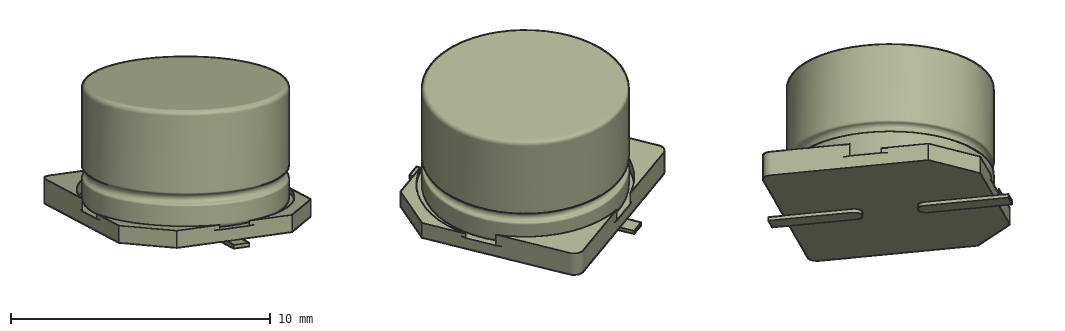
import cadquery as cq
import math

total_height = 5.4
lead_thickness = 0.15

base_side = 8.3
base_corner_radius = 0.4
base_chamfer = 1.66
ledge_top_high = 1.15
ledge_top_low = 0.85
seat_floor = 0.65
seat_radius = 4.2

can_radius = 8.0 / 2
can_edge_radius = 0.2
groove_center_height = 1.85
groove_depth = 0.2
groove_radius = 0.2
groove_lip_radius = 0.095

lead_span = 9.5
lead_width = 0.665
lead_inner_end = 1.1


def make_base():
    """Base block with two rounded and two chamfered corners and a seat for the can."""
    base = cq.Workplane("XY").workplane(offset=lead_thickness)
    base = base.rect(base_side, base_side).extrude(ledge_top_high - lead_thickness)
    base = base.edges("|Z and <X").fillet(base_corner_radius)
    base = base.edges("|Z and >X").chamfer(base_chamfer)
    step_cut = (
        cq.Workplane("XY").workplane(offset=ledge_top_low)
        .center(base_side / 2, 0)
        .rect(base_side, base_side)
        .extrude(ledge_top_high - ledge_top_low)
    )
    seat_cut = (
        cq.Workplane("XY").workplane(offset=seat_floor)
        .circle(seat_radius)
        .extrude(ledge_top_high - seat_floor)
    )
    return base.cut(step_cut).cut(seat_cut)


def make_can():
    """Revolved can with rounded rims and a crimp groove whose lips are rounded."""
    waist_radius = can_radius - groove_depth
    groove_center = waist_radius + groove_radius
    lip_center = can_radius - groove_lip_radius
    center_distance = groove_radius + groove_lip_radius
    lip_offset = math.sqrt(center_distance**2 - (groove_center - lip_center)**2)
    lip_angle = math.atan2(lip_offset, lip_center - groove_center)
    lip_mid_angle = (math.pi - lip_angle) / 2
    touch_radius = groove_center + groove_radius * math.cos(lip_angle)
    touch_offset = groove_radius * math.sin(lip_angle)
    lip_mid_radius = lip_center + groove_lip_radius * math.cos(lip_mid_angle)
    lip_mid_offset = lip_offset - groove_lip_radius * math.sin(lip_mid_angle)

    lower = groove_center_height - lip_offset
    upper = groove_center_height + lip_offset
    rim_mid = can_edge_radius * (1 - math.sqrt(0.5))
    flat_radius = can_radius - can_edge_radius
    profile = (
        cq.Workplane("XZ")
        .moveTo(0, seat_floor)
        .lineTo(flat_radius, seat_floor)
        .threePointArc((can_radius - rim_mid, seat_floor + rim_mid),
                       (can_radius, seat_floor + can_edge_radius))
        .lineTo(can_radius, lower)
        .threePointArc((lip_mid_radius, groove_center_height - lip_mid_offset),
                       (touch_radius, groove_center_height - touch_offset))
        .threePointArc((waist_radius, groove_center_height),
                       (touch_radius, groove_center_height + touch_offset))
        .threePointArc((lip_mid_radius, groove_center_height + lip_mid_offset),
                       (can_radius, upper))
        .lineTo(can_radius, total_height - can_edge_radius)
        .threePointArc((can_radius - rim_mid, total_height - rim_mid),
                       (flat_radius, total_height))
        .lineTo(0, total_height)
        .close()
    )
    return profile.revolve(360, (0, 0), (0, 1))


def make_lead(side):
    """Flat lead under the base with a semicircular inner end; side is -1 or +1."""
    half_width = lead_width / 2
    outer = side * lead_span / 2
    arc_start = side * (lead_inner_end + half_width)
    return (
        cq.Workplane("XY")
        .moveTo(outer, -half_width)
        .lineTo(arc_start, -half_width)
        .threePointArc((side * lead_inner_end, 0), (arc_start, half_width))
        .lineTo(outer, half_width)
        .close()
        .extrude(lead_thickness)
    )


result = make_base().union(make_can())
for lead_side in (-1, 1):
    result = result.union(make_lead(lead_side))